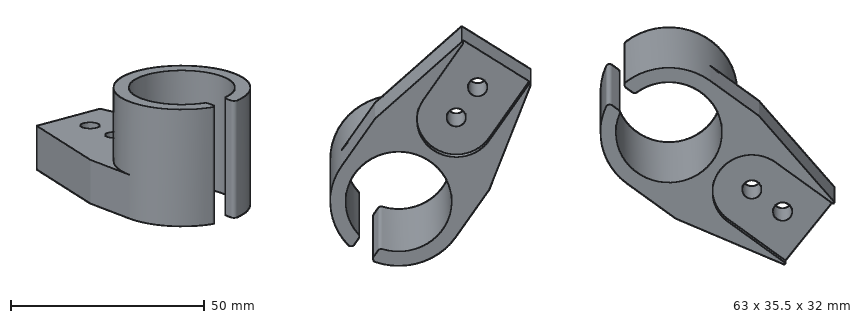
import cadquery as cq
import math

ring_outer_radius = 17.75
ring_wall = 4.0
ring_inner_radius = ring_outer_radius - ring_wall
ring_height = 32.0
gap_width = 6.0
gap_lip_radius = 1.0

arm_height = 12.0
arm_reach = 28.0
arm_end_x = -(ring_outer_radius + arm_reach)
arm_end_width = 21.5
taper_length = 30.0
taper_end_x = arm_end_x + taper_length

hole_diameter = 5.0
hole_spacing = 10.0
first_hole_offset = 8.75
first_hole_x = arm_end_x + first_hole_offset
second_hole_x = first_hole_x + hole_spacing

recess_width = 20.4
recess_depth = 2.0
recess_radius = recess_width / 2
recess_arc_center_x = second_hole_x


def make_arm():
    """Plate that widens from the end face and wraps round the ring."""
    half_end = arm_end_width / 2
    return (
        cq.Workplane("XY")
        .moveTo(arm_end_x, -half_end)
        .lineTo(taper_end_x, -ring_outer_radius)
        .lineTo(0, -ring_outer_radius)
        .threePointArc((ring_outer_radius, 0), (0, ring_outer_radius))
        .lineTo(taper_end_x, ring_outer_radius)
        .lineTo(arm_end_x, half_end)
        .close()
        .extrude(arm_height)
    )


def make_ring():
    """Solid cylinder that the bore and gap turn into a clamp."""
    return cq.Workplane("XY").circle(ring_outer_radius).extrude(ring_height)


def cut_bore_and_gap(body):
    """Open the ring: a full-height bore and a gap on the +X side with rounded lips."""
    bore = cq.Workplane("XY").circle(ring_inner_radius).extrude(ring_height)
    gap_length = 2 * ring_outer_radius
    gap = cq.Workplane("XY").box(gap_length, gap_width, ring_height, centered=(False, True, False))
    opened = body.cut(bore).cut(gap)

    rounded = opened
    half_gap = gap_width / 2
    for radius in (ring_inner_radius, ring_outer_radius):
        lip_x = math.sqrt(radius**2 - half_gap**2)
        for lip_y in (-half_gap, half_gap):
            at_lip = cq.selectors.NearestToPointSelector((lip_x, lip_y, ring_height / 2))
            rounded = rounded.edges(at_lip).fillet(gap_lip_radius)
    return rounded


def cut_screw_holes(body):
    """Two through holes along the arm."""
    centers = [(first_hole_x, 0), (second_hole_x, 0)]
    holes = cq.Workplane("XY").pushPoints(centers).circle(hole_diameter / 2).extrude(arm_height)
    return body.cut(holes)


def cut_recess(body):
    """Shallow straight-sided slot with a half-round inner end."""
    recess = (
        cq.Workplane("XY")
        .moveTo(arm_end_x, -recess_radius)
        .lineTo(recess_arc_center_x, -recess_radius)
        .threePointArc((recess_arc_center_x + recess_radius, 0), (recess_arc_center_x, recess_radius))
        .lineTo(arm_end_x, recess_radius)
        .close()
        .extrude(recess_depth)
    )
    return body.cut(recess)


result = make_arm().union(make_ring())
result = cut_bore_and_gap(result)
result = cut_screw_holes(result)
result = cut_recess(result)